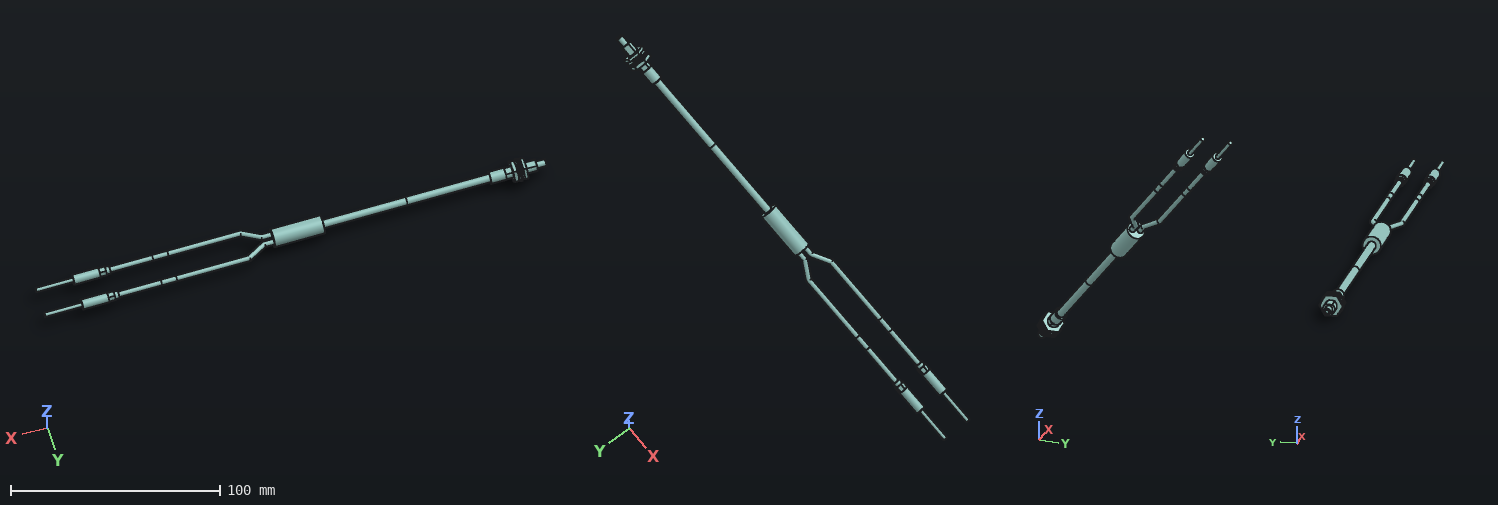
import cadquery as cq
import math


hex_sides = 6

tip_diameter = 3.5
tip_length = 4.75
lens_diameter = 2.0
lens_recess = 0.5
thread_diameter = 5.8
ferrule_diameter = 6.0
thread_across_flats = 4.7
thread_end = 20.4
ferrule_end = 28.0

nut_across_flats = 10.0
front_nut_start = 10.2
front_nut_thickness = 1.7
washer_start = 13.1
washer_diameter = 11.0
washer_thickness = 0.8
rear_nut_start = 14.7
rear_nut_thickness = 2.25
nut_chamfer_angle = 30.0
nut_chamfer_diameter = 0.95 * nut_across_flats

trunk_diameter = 4.2
trunk_seam = 69.8
junction_start = 111.8
junction_length = 25.0
junction_end = junction_start + junction_length
junction_diameter = 9.0

branch_diameter = 2.9
branch_spacing = 14.0
branch_offset = branch_spacing / 2
root_offset = 2.0
bend_start = 141.6
bend_end = 150.6
link_start = 187.1
link_end = 194.7

collar_diameter = 3.9
collar_start = 216.1
hex_start = 218.2
plug_start = 221.4
plug_diameter = 5.0
plug_end = 234.4
fiber_diameter = 2.2
overall_length = 253.0


def rod(diameter, start, end, y=0.0):
    """Round bar along X between two stations."""
    return cq.Workplane("YZ", origin=(start, y, 0)).circle(diameter / 2).extrude(end - start)


def hex_bar(across_corners, start, end, y=0.0):
    """Hexagonal bar along X with corners at +Y and -Y."""
    return cq.Workplane("YZ", origin=(start, y, 0)).polygon(hex_sides, across_corners).extrude(end - start)


def make_head():
    """Sensing head with the first length of trunk cable."""
    thread = rod(thread_diameter, tip_length, thread_end)
    flats = cq.Workplane("XY").box(2 * thread_end, thread_diameter, thread_across_flats)
    tip = rod(tip_diameter, 0, tip_length)
    ferrule = rod(ferrule_diameter, thread_end, ferrule_end)
    cable = rod(trunk_diameter, ferrule_end, trunk_seam)
    head = tip.union(thread.intersect(flats)).union(ferrule).union(cable)
    return head.cut(rod(lens_diameter, 0, lens_recess))


def make_nut(start, thickness):
    """Plain hexagon nut with flats facing +Z and -Z."""
    across_corners = nut_across_flats / math.cos(math.pi / hex_sides)
    end = start + thickness
    return hex_bar(across_corners, start, end).cut(rod(thread_diameter, start, end))


def chamfer_front(nut, start, thickness):
    """Bevel the corners of a nut's front face with a cone."""
    front_radius = nut_chamfer_diameter / 2
    back_radius = front_radius + thickness / math.tan(math.radians(nut_chamfer_angle))
    cone = (
        cq.Workplane("XY")
        .moveTo(start, 0)
        .lineTo(start, front_radius)
        .lineTo(start + thickness, back_radius)
        .lineTo(start + thickness, 0)
        .close()
        .revolve(360, (0, 0, 0), (1, 0, 0))
    )
    return nut.intersect(cone)


def make_washer():
    """Plain round washer ahead of the rear nut."""
    end = washer_start + washer_thickness
    return rod(washer_diameter, washer_start, end).cut(rod(thread_diameter, washer_start, end))


def make_branch(side):
    """Bent branch cable from the junction sleeve to the link seam."""
    root_y = side * root_offset
    branch_y = side * branch_offset
    path = cq.Workplane("XY").polyline([
        (junction_end, root_y),
        (bend_start, root_y),
        (bend_end, branch_y),
        (link_start, branch_y),
    ])
    profile = cq.Workplane("YZ", origin=(junction_end, root_y, 0)).circle(branch_diameter / 2)
    return profile.sweep(path, transition="right")


def make_junction():
    """Trunk cable, junction sleeve and both bent branches."""
    junction = rod(trunk_diameter, trunk_seam, junction_start)
    junction = junction.union(rod(junction_diameter, junction_start, junction_end))
    for side in (1, -1):
        junction = junction.union(make_branch(side))
    return junction


def make_link(y):
    """Short straight length of branch cable."""
    return rod(branch_diameter, link_start, link_end, y)


def make_plug(y):
    """End of a branch cable with its collar, hexagon, plug and bare fiber."""
    cable = rod(branch_diameter, link_end, collar_start, y)
    collar = rod(collar_diameter, collar_start, hex_start, y)
    hexagon = hex_bar(plug_diameter, hex_start, plug_start, y)
    barrel = rod(plug_diameter, plug_start, plug_end, y)
    fiber = rod(fiber_diameter, plug_end, overall_length, y)
    return cable.union(collar).union(hexagon).union(barrel).union(fiber)


head = make_head()
front_nut = make_nut(front_nut_start, front_nut_thickness)
washer = make_washer()
rear_nut = chamfer_front(make_nut(rear_nut_start, rear_nut_thickness), rear_nut_start, rear_nut_thickness)
junction = make_junction()
branch_positions = (branch_offset, -branch_offset)
links = [make_link(y).val() for y in branch_positions]
plugs = [make_plug(y).val() for y in branch_positions]

result = cq.Compound.makeCompound([
    head.val(),
    front_nut.val(),
    washer.val(),
    rear_nut.val(),
    junction.val(),
    *links,
    *plugs,
])